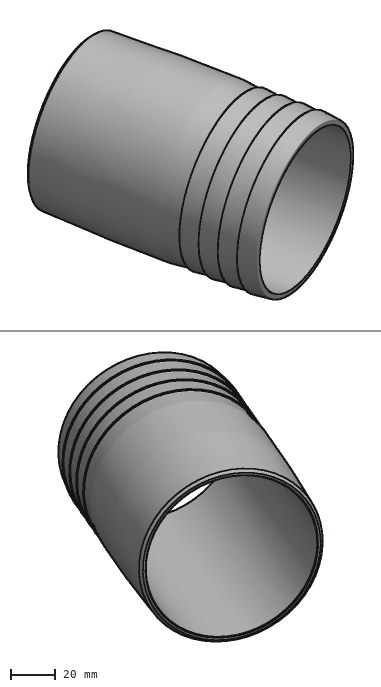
import cadquery as cq
import math

length = 120.0
body_radius = 88.9 / 2
bore_radius = 80.9 / 2

bevel_length = 1.3
end_face_radius = 42.0
weld_end_radius = 43.5
bore_bevel = 0.4
weld_taper_end = 37.0

body_end = 68.0
barb_count = 4
barb_pitch = length / 12
first_root = 79.5
root_radius = 43.2
crest_radius = 44.3
rise_length = 0.7
edge_round = 0.5

arc_offset = edge_round * math.sqrt(0.5)


def add_barb(outline, root):
    """Climb from the barb root at axial position `root` to its sharp crest."""
    arc_middle = (root + arc_offset, root_radius + edge_round - arc_offset)
    arc_end = (root + edge_round, root_radius + edge_round)
    return (
        outline.lineTo(root, root_radius)
        .threePointArc(arc_middle, arc_end)
        .lineTo(root + rise_length, crest_radius)
    )


def add_rounded_end(outline):
    """Run down the last barb and round the outer edge of the hose end face."""
    arc_start = length - edge_round
    arc_bottom = root_radius - edge_round
    return outline.lineTo(arc_start, root_radius).threePointArc(
        (arc_start + arc_offset, arc_bottom + arc_offset),
        (length, arc_bottom),
    )


wall_section = (
    cq.Workplane("XZ")
    .moveTo(bore_bevel, bore_radius)
    .lineTo(0, bore_radius + bore_bevel)
    .lineTo(0, end_face_radius)
    .lineTo(bevel_length, weld_end_radius)
    .lineTo(weld_taper_end, body_radius)
    .lineTo(body_end, body_radius)
)
for index in range(barb_count):
    wall_section = add_barb(wall_section, first_root + index * barb_pitch)
wall_section = add_rounded_end(wall_section).lineTo(length, bore_radius).close()

result = wall_section.revolve(360, (0, 0, 0), (1, 0, 0))